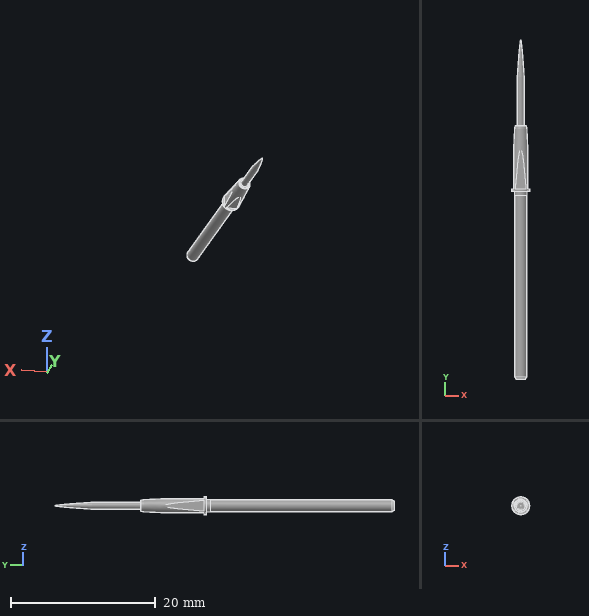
import cadquery as cq

TOTAL_LENGTH = 46.9

SHANK_RADIUS = 0.84
END_CHAMFER_RADIUS = 0.65
END_CHAMFER_LENGTH = 0.35

NECK_START = 25.4
NECK_RADIUS = 0.89
COLLAR_START = 26.0
COLLAR_LENGTH = 0.35
COLLAR_RADIUS = 1.25

SLEEVE_REAR_RADIUS = COLLAR_RADIUS
SLEEVE_FRONT = 34.6
SLEEVE_FRONT_RADIUS = 0.87
NOSE_LENGTH = 0.5
NOSE_RADIUS = 0.8
NOSE_CHAMFER = 0.1
FLAT_DISTANCE = 1.0

NEEDLE_RADIUS = 0.5
TAPER_LENGTH = 5.1
POINT_LENGTH = 1.6
POINT_BASE_RADIUS = 0.25
TIP_RADIUS = 0.1
TIP_END_LENGTH = 0.3
TIP_END_RADIUS = 0.06

COLLAR_END = COLLAR_START + COLLAR_LENGTH
SLEEVE_END = SLEEVE_FRONT + NOSE_LENGTH


def revolved(profile):
    """Solid of revolution about Y from (radius, y) points, closed along the axis."""
    start, end = profile[0][1], profile[-1][1]
    outline = [(0, start), *profile, (0, end)]
    return cq.Workplane("XY").polyline(outline).close().revolve(360, (0, 0, 0), (0, 1, 0))


def shank():
    return revolved([
        (END_CHAMFER_RADIUS, 0),
        (SHANK_RADIUS, END_CHAMFER_LENGTH),
        (SHANK_RADIUS, NECK_START),
        (NECK_RADIUS, NECK_START),
        (NECK_RADIUS, COLLAR_START),
        (COLLAR_RADIUS, COLLAR_START),
        (COLLAR_RADIUS, COLLAR_END),
    ])


def sleeve():
    body = revolved([
        (SLEEVE_REAR_RADIUS, COLLAR_END),
        (SLEEVE_FRONT_RADIUS, SLEEVE_FRONT),
        (NOSE_RADIUS, SLEEVE_END - NOSE_CHAMFER),
        (NOSE_RADIUS - NOSE_CHAMFER, SLEEVE_END),
    ])
    square = 2 * FLAT_DISTANCE
    envelope = cq.Workplane("XY").box(square, TOTAL_LENGTH, square).translate((0, TOTAL_LENGTH / 2, 0))
    return body.intersect(envelope)


def needle():
    return revolved([
        (NEEDLE_RADIUS, COLLAR_END),
        (NEEDLE_RADIUS, TOTAL_LENGTH - TAPER_LENGTH),
        (POINT_BASE_RADIUS, TOTAL_LENGTH - POINT_LENGTH),
        (TIP_RADIUS, TOTAL_LENGTH - TIP_END_LENGTH),
        (TIP_END_RADIUS, TOTAL_LENGTH),
    ])


result = shank().union(sleeve()).union(needle())